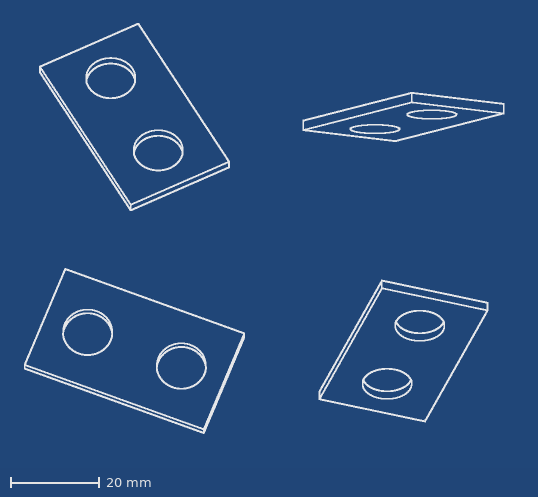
import cadquery as cq

length = 43.7
width = 25.4
thickness = 2.25

hole_diameter = 11.2
hole_spacing = 22.85

plate = cq.Workplane("XY").box(length, width, thickness)

hole_centers = [(-hole_spacing / 2, 0), (hole_spacing / 2, 0)]
result = plate.faces(">Z").workplane().pushPoints(hole_centers).hole(hole_diameter)